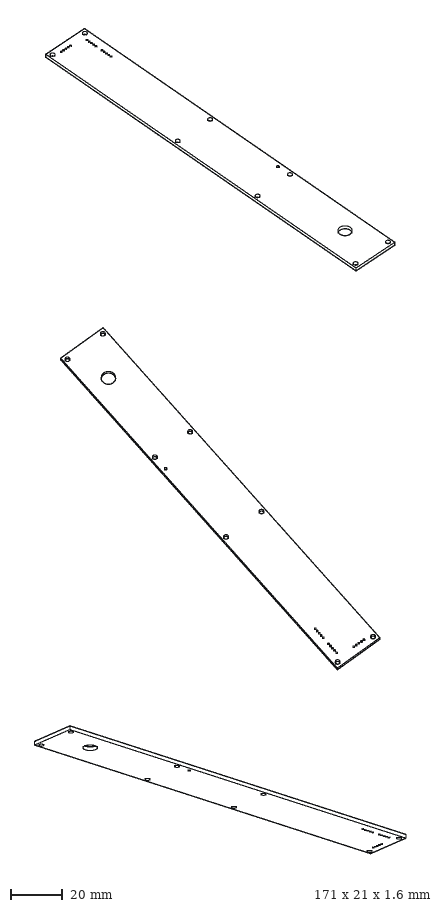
import cadquery as cq

LENGTH = 171.0
WIDTH = 21.0
THICKNESS = 1.6
LEFT = -LENGTH / 2
BACK = WIDTH / 2

MOUNT_DIAMETER = 1.9
MOUNT_END_INSET = 2.0
MOUNT_SIDE_INSET = 1.75
MOUNT_INNER_OFFSETS = (71.0, 115.0)

OPENING_DIAMETER = 5.55
OPENING_X = LEFT + 152.85
OPENING_Y = BACK - 9.1

SMALL_DIAMETER = 1.0
SMALL_X = LEFT + 108.55
SMALL_Y = BACK - 1.9

PIN_DIAMETER = 0.65
PIN_PITCH = 1.25
PIN_COUNT = 5
BACK_ROW_Y = BACK - 3.9
BACK_ROW_STARTS = (LEFT + 5.35, LEFT + 13.6)
END_ROW_X = LEFT + 3.2
END_ROW_START_Y = BACK - 10.7


def mounting_points():
    stations = [LEFT + MOUNT_END_INSET]
    stations += [LEFT + offset for offset in MOUNT_INNER_OFFSETS]
    stations.append(LEFT + LENGTH - MOUNT_END_INSET)
    y = BACK - MOUNT_SIDE_INSET
    return [(x, side * y) for x in stations for side in (-1, 1)]


def pin_points():
    steps = [i * PIN_PITCH for i in range(PIN_COUNT)]
    points = [(start + step, BACK_ROW_Y) for start in BACK_ROW_STARTS for step in steps]
    points += [(END_ROW_X, END_ROW_START_Y - step) for step in steps]
    return points


def drill(plate, points, diameter):
    drills = cq.Workplane("XY").pushPoints(points).circle(diameter / 2).extrude(THICKNESS)
    return plate.cut(drills)


board = cq.Workplane("XY").box(LENGTH, WIDTH, THICKNESS, centered=(True, True, False))
board = drill(board, mounting_points(), MOUNT_DIAMETER)
board = drill(board, [(OPENING_X, OPENING_Y)], OPENING_DIAMETER)
board = drill(board, [(SMALL_X, SMALL_Y)], SMALL_DIAMETER)
result = drill(board, pin_points(), PIN_DIAMETER)